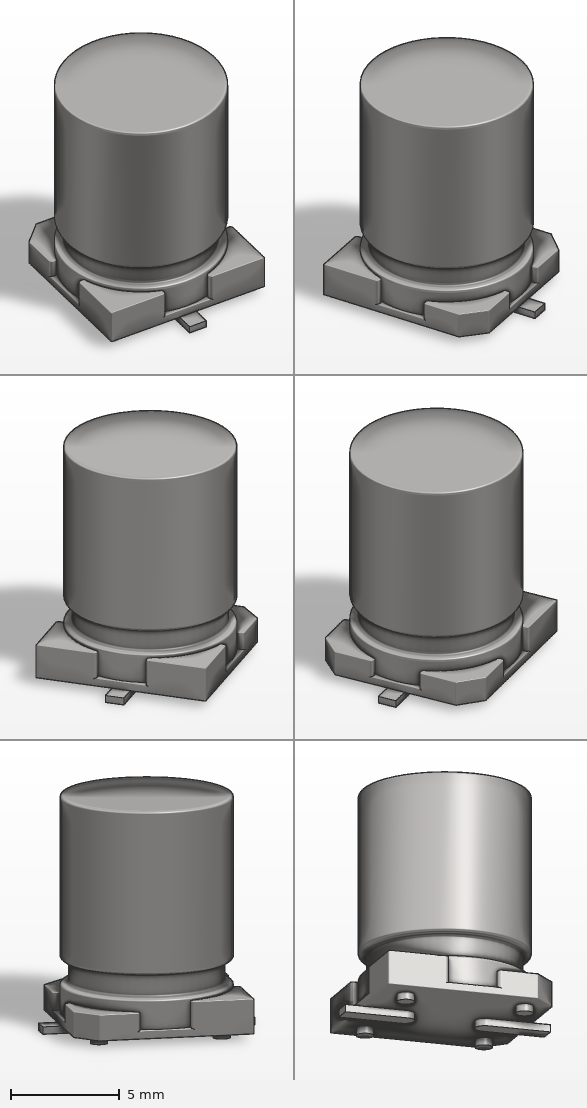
import cadquery as cq

TOTAL_HEIGHT = 11.0
LEAD_SPAN = 10.0

BASE_SIDE = 8.3
BASE_CHAMFER = 1.02
BASE_BOTTOM = 0.35
FLOOR_TOP = 0.75
LOW_BLOCK_TOP = 1.58
HIGH_BLOCK_TOP = 2.01
NOTCH_WIDTH = 2.4
NOTCH_ROUND = 0.15
EDGE_ROUND = 0.05

CAN_RADIUS = 8.0 / 2
NECK_RADIUS = 7.2 / 2
CAN_ROUND = 0.15
NECK_BOTTOM = 2.32
NECK_TOP = 3.12

LEAD_WIDTH = 0.9
LEAD_INNER_END = 1.5
FOOT_DIAMETER = 0.8
FOOT_OFFSET = 2.89

BLOCK_SIDE = (BASE_SIDE - NOTCH_WIDTH) / 2
BLOCK_CENTRE = (BASE_SIDE + NOTCH_WIDTH) / 4


def base_prism(top):
    """Base outline, chamfered at the two -X corners, raised to the given height."""
    return (
        cq.Workplane("XY", origin=(0, 0, BASE_BOTTOM))
        .rect(BASE_SIDE, BASE_SIDE)
        .extrude(top - BASE_BOTTOM)
        .edges("|Z and <X")
        .chamfer(BASE_CHAMFER)
        .edges("|Z")
        .fillet(EDGE_ROUND)
    )


def round_rims(body):
    """Round the edges of the top and bottom faces."""
    return body.faces("<Z or >Z").edges().fillet(EDGE_ROUND)


def make_block(x_side, y_side, top):
    """Corner block that wraps the can; x_side and y_side are +1 or -1."""
    corner = (
        cq.Workplane("XY")
        .center(x_side * BLOCK_CENTRE, y_side * BLOCK_CENTRE)
        .rect(BLOCK_SIDE, BLOCK_SIDE)
        .extrude(top)
    )
    bore = cq.Workplane("XY").circle(CAN_RADIUS).extrude(top)
    block = base_prism(top).intersect(corner).cut(bore)

    x_wall = "<X" if x_side > 0 else ">X"
    y_wall = "<Y" if y_side > 0 else ">Y"
    block = block.faces(f"{x_wall} or {y_wall}").edges("|Z").fillet(NOTCH_ROUND)
    return round_rims(block)


def make_can():
    """Turned can with a rounded neck near its foot and a rounded top rim."""
    r = CAN_ROUND
    can_bottom = FLOOR_TOP - EDGE_ROUND
    rim = CAN_RADIUS - r
    throat = NECK_RADIUS + r
    return (
        cq.Workplane("XZ")
        .moveTo(0, can_bottom)
        .lineTo(CAN_RADIUS, can_bottom)
        .lineTo(CAN_RADIUS, NECK_BOTTOM - 2 * r)
        .radiusArc((rim, NECK_BOTTOM - r), -r)
        .lineTo(throat, NECK_BOTTOM - r)
        .radiusArc((NECK_RADIUS, NECK_BOTTOM), r)
        .lineTo(NECK_RADIUS, NECK_TOP)
        .radiusArc((throat, NECK_TOP + r), r)
        .lineTo(rim, NECK_TOP + r)
        .radiusArc((CAN_RADIUS, NECK_TOP + 2 * r), -r)
        .lineTo(CAN_RADIUS, TOTAL_HEIGHT - r)
        .radiusArc((rim, TOTAL_HEIGHT), -r)
        .lineTo(0, TOTAL_HEIGHT)
        .close()
        .revolve(360, (0, 0, 0), (0, 1, 0))
    )


def make_lead(x_side):
    """Flat lead with a full-round inner end, flush with the underside plane."""
    round_centre = x_side * (LEAD_INNER_END + LEAD_WIDTH / 2)
    outer_end = x_side * LEAD_SPAN / 2
    strip = (
        cq.Workplane("XY")
        .center((round_centre + outer_end) / 2, 0)
        .rect(abs(outer_end - round_centre), LEAD_WIDTH)
        .extrude(BASE_BOTTOM)
    )
    tip = cq.Workplane("XY").center(round_centre, 0).circle(LEAD_WIDTH / 2).extrude(BASE_BOTTOM)
    return strip.union(tip)


feet = (
    cq.Workplane("XY")
    .rect(2 * FOOT_OFFSET, 2 * FOOT_OFFSET, forConstruction=True)
    .vertices()
    .circle(FOOT_DIAMETER / 2)
    .extrude(BASE_BOTTOM)
)

result = round_rims(base_prism(FLOOR_TOP)).union(make_can()).union(feet)
for x_side, block_top in ((-1, LOW_BLOCK_TOP), (1, HIGH_BLOCK_TOP)):
    result = result.union(make_lead(x_side))
    for y_side in (-1, 1):
        result = result.union(make_block(x_side, y_side, block_top))